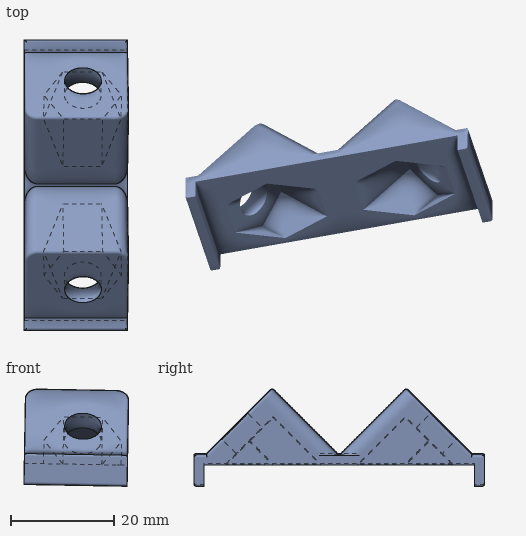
import cadquery as cq
import math

WIDTH = 20.0
LENGTH = 56.3
PLATE_THICKNESS = 1.9
LIP_THICKNESS = 2.0
LIP_DROP = 4.1
EDGE_ROUND = 0.5

SHELF_LENGTH = 2.45
VALLEY_WIDTH = 0.5
BACK_ROUND = 2.5

HOLE_DIAMETER = 7.1
HOLE_FROM_END = 7.93
HOLE_X = 1.25
SEAT_THICKNESS = 4.0
NUT_ACROSS_FLATS = 13.0
CUT_LENGTH = 20.0

TOLERANCE = 1e-4

TILT_DEGREES = 1.0

HALF_LENGTH = LENGTH / 2
SLOPE_FOOT_Y = HALF_LENGTH - SHELF_LENGTH
VALLEY_Y = VALLEY_WIDTH / 2
PEAK_Y = (SLOPE_FOOT_Y + VALLEY_Y) / 2
PEAK_Z = PLATE_THICKNESS + (SLOPE_FOOT_Y - VALLEY_Y) / 2


def extrude_across(points):
    """Extrude a closed (Y, Z) outline over the full width, centred on X = 0."""
    return cq.Workplane("YZ").polyline(points).close().extrude(WIDTH / 2, both=True)


def base_plate():
    """Plate with a lip under each end."""
    inner_y = HALF_LENGTH - LIP_THICKNESS
    return extrude_across([
        (-HALF_LENGTH, PLATE_THICKNESS),
        (-HALF_LENGTH, -LIP_DROP),
        (-inner_y, -LIP_DROP),
        (-inner_y, 0),
        (inner_y, 0),
        (inner_y, -LIP_DROP),
        (HALF_LENGTH, -LIP_DROP),
        (HALF_LENGTH, PLATE_THICKNESS),
    ])


def wedge():
    """Wedge on the +Y half, with the sides of its inner slope rounded."""
    body = extrude_across([
        (VALLEY_Y - PLATE_THICKNESS, 0),
        (PEAK_Y, PEAK_Z),
        (SLOPE_FOOT_Y + PLATE_THICKNESS, 0),
    ])
    inner_slope = body.faces(cq.selectors.ParallelDirSelector(cq.Vector(0, -1, 1)))
    return inner_slope.edges("not |X").fillet(BACK_ROUND)


def is_free_rim(edge):
    """True for an edge beyond the peaks that is not the concave foot of an outer slope."""
    centre = edge.Center()
    foot = cq.Vector(0, math.copysign(SLOPE_FOOT_Y, centre.y), PLATE_THICKNESS)
    return abs(centre.y) > PEAK_Y - TOLERANCE and (centre - foot).Length > TOLERANCE


def round_rims(body):
    """Round the free edges of the outer slopes, the end shelves and the lip bottoms."""
    rims = body.faces("<Y or >Y").edges("|X")
    for side in (1, -1):
        slopes = body.faces(cq.selectors.ParallelDirSelector(cq.Vector(0, side, 1)))
        outer_slope = slopes.filter(lambda face: abs(face.Center().y) > PEAK_Y)
        shelf = body.faces(cq.selectors.NearestToPointSelector((0, side * HALF_LENGTH, PLATE_THICKNESS)))
        rims = rims.add(outer_slope.edges()).add(shelf.edges("|Y"))
    return rims.filter(is_free_rim).fillet(EDGE_ROUND)


def bolt_cut():
    """Hole and nut pocket of the +Y wedge, along the normal of its outer slope."""
    centre_y = HALF_LENGTH - HOLE_FROM_END
    centre_z = PLATE_THICKNESS + SLOPE_FOOT_Y - centre_y
    slope = cq.Workplane(
        cq.Plane(origin=(HOLE_X, centre_y, centre_z), xDir=(1, 0, 0), normal=(0, -1, -1))
    )
    hole = slope.circle(HOLE_DIAMETER / 2).extrude(CUT_LENGTH)
    across_corners = NUT_ACROSS_FLATS / math.cos(math.pi / 6)
    pocket = slope.workplane(offset=SEAT_THICKNESS).polygon(6, across_corners).extrude(CUT_LENGTH)
    return hole.union(pocket)


def both_ends(shape):
    """The shape together with its mirror image in Y = 0."""
    return [shape, shape.mirror("XZ")]


result = base_plate()
for block in both_ends(wedge()):
    result = result.union(block)
result = round_rims(result)
for cut in both_ends(bolt_cut()):
    result = result.cut(cut)
result = result.rotate((0, 0, 0), (0, 1, 0), TILT_DEGREES)